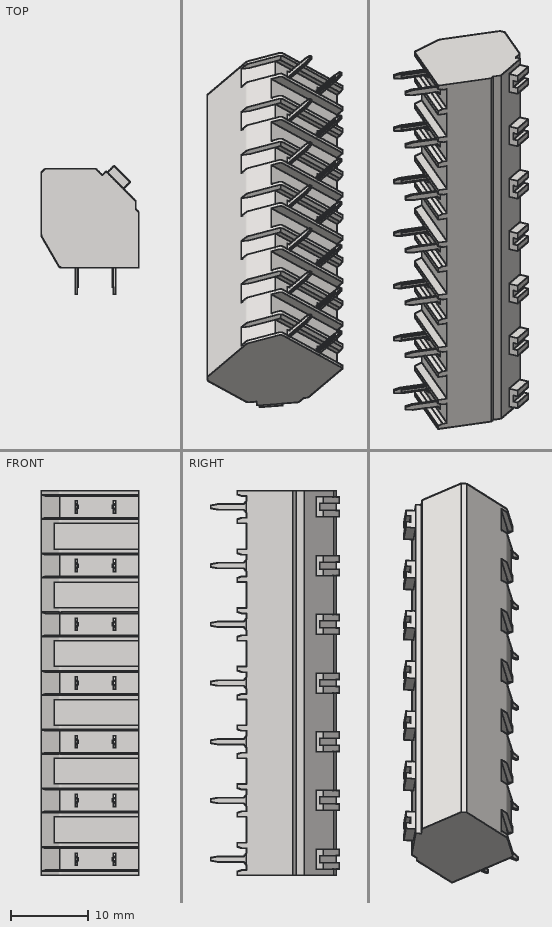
import cadquery as cq
import math

length = 49.9
width = 12.7
depth = 12.9

cell_count = 7
end_offset = 2.1
pitch = (length - 2 * end_offset) / (cell_count - 1)
cell_heights = [end_offset + i * pitch for i in range(cell_count)]

bevel_x = 2.4
bevel_y = 4.15
bevel_slope = bevel_y / bevel_x
side_corner_radius = 0.9
front_corner_radius = 0.5
back_chamfer = 0.5
slope_sum = 20.95
notch_start_x = 7.1
notch_run = 0.85
slope_end_x = 12.3
step_y = 7.65
step_size = width - slope_end_x

recess_depth = 1.2
recess_inset = 0.6
recess_half_height = 1.6
rib_outer_offset = 2.15
rib_chamfer_height = 0.2
wedge_back_y = 6.0

pin_xs = (4.55, 9.55)
pin_end_y = -3.45
pin_thickness = 0.3
pin_half_height = 0.375
flare_half_height = 0.8
flare_length = 0.35
pin_embed = 0.5
tip_length = 0.95
tip_half_height = 0.2
bar_thickness = 0.15
bar_half_height = 0.2
bar_end_y = -2.5

button_x = 8.6
button_length = 3.0
button_rise = 1.25
button_sink = 0.25
button_half_height = 1.3
slot_half_height = 0.45
slot_depth = 0.6


def bevel_shift(inset):
    """Rise along Y of the bevel line when it moves inward by inset."""
    return inset * math.hypot(1, bevel_slope)


def bevel_x_at(y, shift):
    """X of the bevel line, raised by shift, at height y."""
    return (bevel_y + shift - y) / bevel_slope


def prism(points, bottom, top):
    return cq.Workplane("XY").workplane(offset=bottom).polyline(points).close().extrude(top - bottom)


def body_points(front_y, shift):
    """Body outline with the front face at front_y and the bevel raised by shift."""
    notch_x = notch_start_x + notch_run
    notch_y = depth - notch_run
    notch_step = (slope_sum - notch_x - notch_y) / 2
    return [
        (0, bevel_y + shift),
        (bevel_x_at(front_y, shift), front_y),
        (width, front_y),
        (width, step_y - step_size),
        (slope_end_x, step_y),
        (slope_end_x, slope_sum - slope_end_x),
        (notch_x + notch_step, notch_y + notch_step),
        (notch_x, notch_y),
        (notch_start_x, depth),
        (back_chamfer, depth),
        (0, depth - back_chamfer),
    ]


def make_envelope():
    """Full outline with the two ends of the bevel rounded."""
    body = prism(body_points(0, 0), 0, length)
    corners = ((0, bevel_y, side_corner_radius), (bevel_x, 0, front_corner_radius))
    for x, y, radius in corners:
        edge = cq.selectors.NearestToPointSelector((x, y, length / 2))
        body = body.edges(edge).fillet(radius)
    return body


def make_rib(z, direction):
    """Rib beside a recess, with its recess-side edge chamfered along the outline."""
    def front_wedge(inset):
        shift = bevel_shift(inset)
        return [
            (inset, bevel_y + shift - inset * bevel_slope),
            (bevel_x_at(inset, shift), inset),
            (width, inset),
            (width, wedge_back_y),
            (inset, wedge_back_y),
        ]

    wall_z = z + direction * recess_half_height
    outer_z = z + direction * rib_outer_offset
    rib = prism(front_wedge(0), min(wall_z, outer_z), max(wall_z, outer_z))
    chamfer_layer = (
        cq.Workplane("XY")
        .workplane(offset=wall_z)
        .polyline(front_wedge(0)).close()
        .workplane(offset=-direction * rib_chamfer_height)
        .polyline(front_wedge(recess_inset)).close()
        .loft(ruled=True)
    )
    return rib.union(chamfer_layer)


def make_body():
    """Core at recess depth, plus webs between cells and ribs beside each recess."""
    body = prism(body_points(recess_depth, bevel_shift(recess_inset)), 0, length)
    for z in cell_heights[:-1]:
        web_bottom = z + recess_half_height
        web_top = z + pitch - recess_half_height
        body = body.union(prism(body_points(recess_depth, 0), web_bottom, web_top))
    for z in cell_heights:
        for direction in (-1, 1):
            body = body.union(make_rib(z, direction))
    return body.intersect(make_envelope())


def make_pin(x, z, inward):
    """Flat pin with a flared root, a tapered tip and a stiffening bar on its inward side."""
    root_y = recess_depth + pin_embed
    half_outline = [
        (root_y, flare_half_height),
        (recess_depth, flare_half_height),
        (recess_depth - flare_length, pin_half_height),
        (pin_end_y + tip_length, pin_half_height),
        (pin_end_y, tip_half_height),
    ]
    outline = half_outline + [(y, -half) for y, half in reversed(half_outline)]
    blade = (
        cq.Workplane("YZ", origin=(x - pin_thickness / 2, 0, z))
        .polyline(outline).close()
        .extrude(pin_thickness)
    )
    bar_width = pin_thickness / 2 + bar_thickness
    bar = cq.Workplane("XY").box(bar_width, root_y - bar_end_y, 2 * bar_half_height).translate(
        (x + inward * bar_width / 2, (root_y + bar_end_y) / 2, z)
    )
    return blade.union(bar)


def make_button(z):
    """Slotted button standing on the 45 degree face."""
    face = cq.Plane(
        origin=(button_x, slope_sum - button_x, z),
        xDir=(1, -1, 0),
        normal=(0, 0, 1),
    )
    block = (
        cq.Workplane(face)
        .workplane(offset=-button_half_height)
        .moveTo(0, -button_sink)
        .rect(button_length, button_rise + button_sink, centered=False)
        .extrude(2 * button_half_height)
    )
    slot = (
        cq.Workplane(face)
        .workplane(offset=-slot_half_height)
        .moveTo(0, button_rise - slot_depth)
        .rect(button_length, slot_depth, centered=False)
        .extrude(2 * slot_half_height)
    )
    return block.cut(slot)


result = make_body()
for cell_z in cell_heights:
    result = result.union(make_button(cell_z))
    for pin_x, inward_side in zip(pin_xs, (1, -1)):
        result = result.union(make_pin(pin_x, cell_z, inward_side))